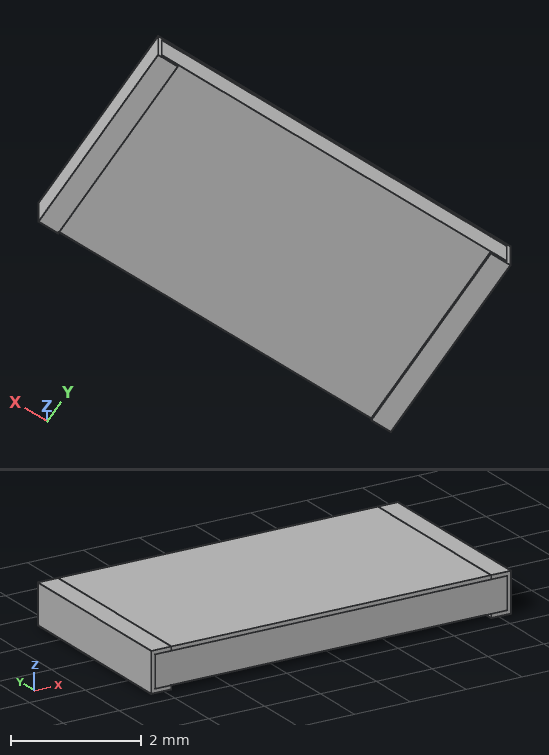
import cadquery as cq

length = 6.45
width = 3.35
height = 0.71

plating = 0.07
terminal_reach = 0.36

core_length = length - 2 * plating
core_height = height - 2 * plating
coating_length = length - 2 * terminal_reach


def make_block(size_x, size_z, bottom_z):
    """Full-width block centred on X and Y, standing on bottom_z."""
    return cq.Workplane("XY").box(size_x, width, size_z, centered=(True, True, False)).translate(
        (0, 0, bottom_z)
    )


def make_core():
    """Plain ceramic substrate."""
    return make_block(core_length, core_height, plating)


def make_coating():
    """Protective layer on the core, flush with the tops of the terminals."""
    return make_block(coating_length, plating, height - plating)


def make_terminal(side):
    """C-shaped end cap; side is -1 for the -X end and +1 for the +X end."""
    outer_x = side * length / 2
    web_x = side * core_length / 2
    tip_x = side * coating_length / 2
    core_top = height - plating
    return (
        cq.Workplane("XZ", origin=(0, width / 2, 0))
        .moveTo(outer_x, 0)
        .lineTo(outer_x, height)
        .lineTo(tip_x, height)
        .lineTo(tip_x, core_top)
        .lineTo(web_x, core_top)
        .lineTo(web_x, plating)
        .lineTo(tip_x, plating)
        .lineTo(tip_x, 0)
        .close()
        .extrude(width)
    )


core = make_core()
coating = make_coating()
terminals = [make_terminal(side) for side in (-1, 1)]

result = cq.Compound.makeCompound(
    [core.val(), coating.val(), *[terminal.val() for terminal in terminals]]
)